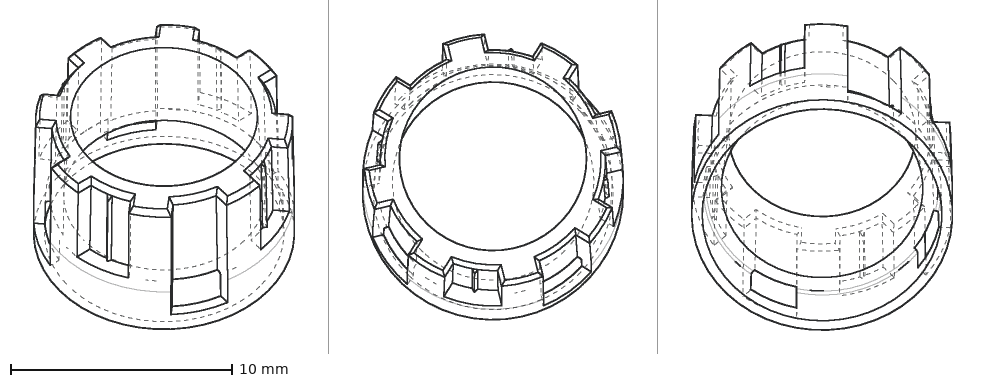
import cadquery as cq
import math

outer_radius = 5.9
height = 7.8
bore_radius = 4.22
bore_flare = 0.33

window_bottom = 0.99
skirt_top = 2.54
pocket_bottom = 3.21

tooth_count = 8
tooth_width = 1.94
cone_inset = 0.08
floor_radius = 5.17
chamfer_height = 0.34
chamfer_angle = 30.0

cavity_mouth_radius = 5.42
cavity_inset = 0.05
cavity_fillet = 0.13

rib_width = 0.25
rib_height = 0.17
rib_root = 0.12

chamfer_start = height - chamfer_height
tooth_pitch = 360.0 / tooth_count
chamfer_slope = math.tan(math.radians(chamfer_angle))


def tapered_disc(radius, bottom, top, inset):
    """Solid disc whose radius shrinks by inset between bottom and top."""
    profile = [(0, bottom), (radius, bottom), (radius - inset, top), (0, top)]
    return cq.Workplane("XZ").polyline(profile).close().revolve(360, (0, 0), (0, 1))


def gap_wedge(angle, bottom):
    """Wedge between the parallel-sided teeth on either side of the given angle."""
    half_pitch = math.radians(tooth_pitch / 2)
    apex = tooth_width / 2 / math.sin(half_pitch)
    far = 2 * outer_radius
    spread = (far - apex) * math.tan(half_pitch)
    wedge = (
        cq.Workplane("XY", origin=(0, 0, bottom))
        .polyline([(apex, 0), (far, -spread), (far, spread)])
        .close()
        .extrude(chamfer_start - bottom)
    )
    return wedge.rotate((0, 0, 0), (0, 0, 1), angle)


def rib_section(plane, floor):
    """Draw the rib's cross-section, rooted in the floor, on the given workplane."""
    root = floor - rib_root
    half_width = rib_width / 2
    corners = [
        (root, -half_width),
        (floor, -half_width),
        (floor + rib_height, 0),
        (floor, half_width),
        (root, half_width),
    ]
    return plane.polyline(corners).close()


def pocket_rib(angle):
    """Pointed rib that leans with the floor cone and has its top sloped like the crown chamfer."""
    rib_length = chamfer_start - pocket_bottom
    top_floor = floor_radius - cone_inset
    bottom_floor = top_floor + cone_inset * rib_length / (chamfer_start - skirt_top)
    section = rib_section(cq.Workplane("XY", origin=(0, 0, pocket_bottom)), bottom_floor)
    rib = rib_section(section.workplane(offset=rib_length), top_floor).loft(ruled=True)

    trim_reach = 2 * rib_height
    trim_corners = [
        (top_floor, chamfer_start),
        (top_floor + trim_reach, chamfer_start),
        (top_floor + trim_reach, chamfer_start - trim_reach / chamfer_slope),
    ]
    trim = cq.Workplane("XZ").polyline(trim_corners).close().extrude(rib_width, both=True)
    return rib.cut(trim).rotate((0, 0, 0), (0, 0, 1), angle)


core = tapered_disc(floor_radius, skirt_top, chamfer_start, cone_inset)
body = tapered_disc(outer_radius, 0, skirt_top, 0)
body = body.union(tapered_disc(outer_radius, skirt_top, chamfer_start, cone_inset))

for index in range(tooth_count):
    gap_angle = (index + 0.5) * tooth_pitch
    is_pocket = index % 2 == 0
    gap_bottom = pocket_bottom if is_pocket else window_bottom
    body = body.cut(gap_wedge(gap_angle, gap_bottom).cut(core))

crown_inset = chamfer_height * chamfer_slope
crown = tapered_disc(floor_radius - cone_inset, chamfer_start, height, crown_inset)
crown_rim = tapered_disc(outer_radius - cone_inset, chamfer_start, height, crown_inset)
for index in range(tooth_count // 2):
    bar = (
        cq.Workplane("XY", origin=(0, 0, chamfer_start))
        .rect(4 * outer_radius, tooth_width)
        .extrude(chamfer_height, taper=chamfer_angle)
        .rotate((0, 0, 0), (0, 0, 1), index * tooth_pitch)
    )
    crown = crown.union(bar.intersect(crown_rim))
body = body.union(crown)

for index in range(0, tooth_count, 2):
    body = body.union(pocket_rib((index + 0.5) * tooth_pitch))

cavity = tapered_disc(cavity_mouth_radius, 0, skirt_top, cavity_inset)
cavity = cavity.faces(">Z").edges().fillet(cavity_fillet)
bore = tapered_disc(bore_radius + bore_flare, skirt_top, height, bore_flare)
result = body.cut(cavity).cut(bore)